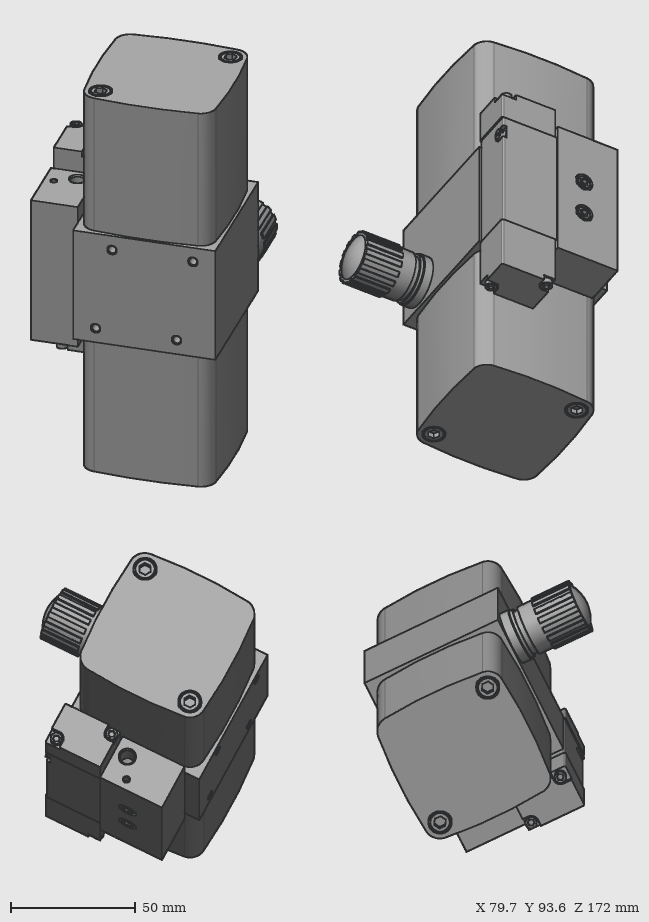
import cadquery as cq
import math

OVERALL_HEIGHT = 172.0
BLOCK_SIDE = 59.9
BLOCK_HEIGHT = 50.0
DRILL_TIP_ANGLE = 118.0

MOUNT_HOLE_DIAMETER = 3.3
MOUNT_HOLE_MOUTH = 4.1
MOUNT_HOLE_DEPTH = 6.9
MOUNT_HOLE_PITCH = 34.0
MOUNT_ROW_SHIFT = 3.5
MOUNT_ROW_Z = 18.5

REGULATOR_X = 17.4
REGULATOR_Z = -12.0
REGULATOR_LENGTH = 33.7
COLLAR_DIAMETER = 22.0
COLLAR_LENGTH = 4.1
COLLAR_CHAMFER = 0.3
SLEEVE_DIAMETER = 21.0
KNOB_RIM_DIAMETER = 21.3
NECK_DIAMETER = 19.0
NECK_START = 5.5
NECK_END = 7.7
RIB_START = 14.3
RIB_END = 30.8
RIB_COUNT = 16
RIB_WIDTH = 2.2
RIB_OUTER_DIAMETER = 22.5
DOME_DIAMETER = 19.0

HOUSING_SIDE = 57.6
HOUSING_SEAM_REACH = 27.7
HOUSING_SEAM_SPREAD = 21.8
TIE_SCREW_OFFSET = 21.0
TIE_SCREW_BORE = 9.5
TIE_SCREW_HEAD = 8.0
TIE_SCREW_HEAD_DEPTH = 1.7
TIE_SCREW_CHAMFER = 0.2
TIE_SCREW_HEX = 4.5
TIE_SCREW_HEX_DEPTH = 2.5

MANIFOLD_WIDTH = 19.8
MANIFOLD_HEIGHT = 64.3
MANIFOLD_BACK_Y = 4.8
MANIFOLD_FRONT_Y = -23.2
PORT_X = -36.8
PORT_Y = -0.9
PORT_DIAMETER = 5.8
PORT_MOUTH = 7.0
PORT_DEPTH = 10.3
PILOT_X = -45.5
PILOT_Y = -5.0
PILOT_DIAMETER = 2.4
PILOT_MOUTH = 3.0
PILOT_DEPTH = 5.2
MANIFOLD_SCREW_Y = -7.5
MANIFOLD_SCREW_PITCH = 16.3
MANIFOLD_SCREW_BORE = 7.7
MANIFOLD_SCREW_HEAD = 5.8
MANIFOLD_SCREW_HEAD_DEPTH = 1.4
MANIFOLD_SCREW_CHAMFER = 0.2
MANIFOLD_SCREW_HEX = 3.3
MANIFOLD_SCREW_HEX_DEPTH = 2.0

VALVE_WIDTH = 17.7
VALVE_DEPTH = 25.0
VALVE_HALF_LENGTH = 27.2
VALVE_EDGE_RADIUS = 0.7
CAP_SHIFT_Y = 0.5
UPPER_CAP_END_Z = 41.5
LOWER_CAP_END_Z = -50.9
CAP_SCREW_INSET_X = 3.0
CAP_SCREW_INSET_BACK = 3.6
CAP_SCREW_INSET_FRONT = 2.4
CAP_SCREW_NOTCH = 5.8
CAP_SCREW_HEAD = 4.6
CAP_SCREW_HEAD_DEPTH = 2.4
CAP_SCREW_SOCKET = 3.0
CAP_SCREW_SOCKET_DEPTH = 1.2
OVERRIDE_Z = 20.0
OVERRIDE_INSET_X = 3.0
OVERRIDE_RECESS = 5.8
OVERRIDE_RECESS_DEPTH = 1.7
OVERRIDE_PIN = 4.6
OVERRIDE_PIN_RISE = 0.7
OVERRIDE_SLOT_WIDTH = 0.7
OVERRIDE_SLOT_DEPTH = 1.0

BLOCK_HALF = BLOCK_SIDE / 2
MANIFOLD_LEFT_X = -BLOCK_HALF - MANIFOLD_WIDTH
VALVE_X = -BLOCK_HALF - MANIFOLD_WIDTH / 2
VALVE_LEFT_X = VALVE_X - VALVE_WIDTH / 2
VALVE_RIGHT_X = VALVE_X + VALVE_WIDTH / 2
VALVE_BACK_Y = MANIFOLD_BACK_Y + VALVE_DEPTH
CAP_FRONT_Y = MANIFOLD_BACK_Y + CAP_SHIFT_Y
CAP_BACK_Y = CAP_FRONT_Y + VALVE_DEPTH


def box_between(x_range, y_range, z_range):
    """Box spanning the given ranges along X, Y and Z."""
    sizes = [high - low for low, high in (x_range, y_range, z_range)]
    corner = (x_range[0], y_range[0], z_range[0])
    return cq.Workplane("XY").box(*sizes, centered=False).translate(corner)


def disc(x, y, z, diameter, height):
    """Upright cylinder whose base is centred on (x, y, z)."""
    return cq.Workplane("XY", origin=(x, y, z)).circle(diameter / 2).extrude(height)


def drilled_hole(position, inward, diameter, mouth, depth):
    """Cutter for a blind hole with a 45 degree countersink and a drill tip."""
    radius = diameter / 2
    mouth_radius = mouth / 2
    tip = radius / math.tan(math.radians(DRILL_TIP_ANGLE / 2))
    outline = [
        (0, 0),
        (mouth_radius, 0),
        (radius, mouth_radius - radius),
        (radius, depth),
        (0, depth + tip),
    ]
    across = (0, 1, 0) if inward[1] == 0 else (1, 0, 0)
    normal = cq.Vector(*across).cross(cq.Vector(*inward))
    plane = cq.Plane(origin=position, xDir=across, normal=normal.toTuple())
    return cq.Workplane(plane).polyline(outline).close().revolve(360, (0, 0), (0, 1))


def socket_screw(position, outward, bore, head, head_depth, chamfer, hex_flats, hex_depth):
    """Cutter that leaves a flush socket head: the gap around the head and the hex socket."""
    across = (1, 0, 0) if outward[0] == 0 else (0, 1, 0)
    plane = cq.Plane(origin=position, xDir=across, normal=outward)
    recess = cq.Workplane(plane).circle(bore / 2).extrude(-head_depth)
    head_solid = cq.Workplane(plane).circle(head / 2).extrude(-head_depth)
    top_face = cq.NearestToPointSelector(position)
    head_solid = head_solid.faces(top_face).edges().chamfer(chamfer)
    hex_corners = hex_flats / math.cos(math.pi / 6)
    socket = (
        cq.Workplane(plane)
        .transformed(rotate=(0, 0, 90))
        .polygon(6, hex_corners)
        .extrude(-hex_depth)
    )
    return recess.cut(head_solid).union(socket)


def make_regulator():
    """Collar, neck and a domed, ribbed knob that widens slightly away from the block."""
    plane = cq.Plane(
        origin=(REGULATOR_X, BLOCK_HALF, REGULATOR_Z), xDir=(1, 0, 0), normal=(0, 0, 1)
    )
    collar_radius = COLLAR_DIAMETER / 2
    sleeve_radius = SLEEVE_DIAMETER / 2
    neck_radius = NECK_DIAMETER / 2
    dome_radius = DOME_DIAMETER / 2
    dome_rise = REGULATOR_LENGTH - RIB_END
    sphere_radius = (dome_radius**2 + dome_rise**2) / (2 * dome_rise)
    half_angle = math.asin(dome_radius / sphere_radius) / 2
    dome_middle = (
        sphere_radius * math.sin(half_angle),
        REGULATOR_LENGTH - sphere_radius * (1 - math.cos(half_angle)),
    )
    turned = (
        cq.Workplane(plane)
        .moveTo(0, 0)
        .lineTo(collar_radius, 0)
        .lineTo(collar_radius, COLLAR_LENGTH - COLLAR_CHAMFER)
        .lineTo(collar_radius - COLLAR_CHAMFER, COLLAR_LENGTH)
        .lineTo(sleeve_radius, COLLAR_LENGTH)
        .lineTo(sleeve_radius, NECK_START)
        .lineTo(neck_radius, NECK_START)
        .lineTo(neck_radius, NECK_END)
        .lineTo(sleeve_radius, NECK_END)
        .lineTo(KNOB_RIM_DIAMETER / 2, RIB_END)
        .lineTo(dome_radius, RIB_END)
        .threePointArc(dome_middle, (0, REGULATOR_LENGTH))
        .close()
        .revolve(360, (0, 0), (0, 1))
    )
    axis_start = (REGULATOR_X, BLOCK_HALF, REGULATOR_Z)
    axis_end = (REGULATOR_X, BLOCK_HALF + 1.7, REGULATOR_Z)
    rib_disc = (
        cq.Workplane("XZ", origin=(REGULATOR_X, BLOCK_HALF + RIB_START, REGULATOR_Z))
        .circle(RIB_OUTER_DIAMETER / 2)
        .extrude(RIB_START - RIB_END)
    )
    full_bar = box_between(
        (REGULATOR_X - RIB_OUTER_DIAMETER, REGULATOR_X + RIB_OUTER_DIAMETER),
        (BLOCK_HALF + RIB_START, BLOCK_HALF + RIB_END),
        (REGULATOR_Z - RIB_WIDTH / 2, REGULATOR_Z + RIB_WIDTH / 2),
    )
    for index in range(RIB_COUNT // 2):
        bar = full_bar.rotate(axis_start, axis_end, index * 360 / RIB_COUNT)
        turned = turned.union(bar.intersect(rib_disc))
    return turned


def make_centre_block():
    block = cq.Workplane("XY").box(BLOCK_SIDE, BLOCK_SIDE, BLOCK_HEIGHT)
    block = block.union(make_regulator())
    for row in (1, -1):
        for side in (1, -1):
            x = row * MOUNT_ROW_SHIFT + side * MOUNT_HOLE_PITCH / 2
            hole = drilled_hole(
                (x, -BLOCK_HALF, row * MOUNT_ROW_Z),
                (0, 1, 0),
                MOUNT_HOLE_DIAMETER,
                MOUNT_HOLE_MOUTH,
                MOUNT_HOLE_DEPTH,
            )
            block = block.cut(hole)
    return block


def make_upper_housing():
    """Housing from the top of the block to the top end, with two tie screws on a diagonal."""
    reach = HOUSING_SEAM_REACH
    spread = HOUSING_SEAM_SPREAD
    bulge = HOUSING_SIDE / 2
    length = (OVERALL_HEIGHT - BLOCK_HEIGHT) / 2
    housing = (
        cq.Workplane("XY", origin=(0, 0, BLOCK_HEIGHT / 2))
        .moveTo(-spread, reach)
        .threePointArc((0, bulge), (spread, reach))
        .tangentArcPoint((reach, spread), relative=False)
        .threePointArc((bulge, 0), (reach, -spread))
        .tangentArcPoint((spread, -reach), relative=False)
        .threePointArc((0, -bulge), (-spread, -reach))
        .tangentArcPoint((-reach, -spread), relative=False)
        .threePointArc((-bulge, 0), (-reach, spread))
        .tangentArcPoint((-spread, reach), relative=False)
        .close()
        .extrude(length)
    )
    for side in (1, -1):
        screw = socket_screw(
            (side * TIE_SCREW_OFFSET, side * TIE_SCREW_OFFSET, OVERALL_HEIGHT / 2),
            (0, 0, 1),
            TIE_SCREW_BORE,
            TIE_SCREW_HEAD,
            TIE_SCREW_HEAD_DEPTH,
            TIE_SCREW_CHAMFER,
            TIE_SCREW_HEX,
            TIE_SCREW_HEX_DEPTH,
        )
        housing = housing.cut(screw)
    return housing


def make_manifold():
    top = MANIFOLD_HEIGHT / 2
    manifold = box_between(
        (MANIFOLD_LEFT_X, -BLOCK_HALF), (MANIFOLD_FRONT_Y, MANIFOLD_BACK_Y), (-top, top)
    )
    port = drilled_hole((PORT_X, PORT_Y, top), (0, 0, -1), PORT_DIAMETER, PORT_MOUTH, PORT_DEPTH)
    pilot = drilled_hole(
        (PILOT_X, PILOT_Y, top), (0, 0, -1), PILOT_DIAMETER, PILOT_MOUTH, PILOT_DEPTH
    )
    manifold = manifold.cut(port).cut(pilot)
    for side in (1, -1):
        screw = socket_screw(
            (MANIFOLD_LEFT_X, MANIFOLD_SCREW_Y, side * MANIFOLD_SCREW_PITCH / 2),
            (-1, 0, 0),
            MANIFOLD_SCREW_BORE,
            MANIFOLD_SCREW_HEAD,
            MANIFOLD_SCREW_HEAD_DEPTH,
            MANIFOLD_SCREW_CHAMFER,
            MANIFOLD_SCREW_HEX,
            MANIFOLD_SCREW_HEX_DEPTH,
        )
        manifold = manifold.cut(screw)
    return manifold


def valve_section(front_y, z_range):
    """Length of valve section, with its two long edges on the +Y side rounded."""
    section = box_between((VALVE_LEFT_X, VALVE_RIGHT_X), (front_y, front_y + VALVE_DEPTH), z_range)
    return section.faces(">Y").edges("|Z").fillet(VALVE_EDGE_RADIUS)


def make_valve_body():
    """Valve body with a slotted override pin in a recess that is open to the -X side."""
    body = valve_section(MANIFOLD_BACK_Y, (-VALVE_HALF_LENGTH, VALVE_HALF_LENGTH))
    pin_x = VALVE_LEFT_X + OVERRIDE_INSET_X
    floor_y = VALVE_BACK_Y - OVERRIDE_RECESS_DEPTH
    pin_top_y = VALVE_BACK_Y + OVERRIDE_PIN_RISE
    recess_radius = OVERRIDE_RECESS / 2
    floor = cq.Workplane("XZ", origin=(pin_x, floor_y, OVERRIDE_Z))
    round_recess = floor.circle(recess_radius).extrude(-OVERRIDE_RECESS_DEPTH)
    side_opening = box_between(
        (VALVE_LEFT_X, pin_x),
        (floor_y, VALVE_BACK_Y),
        (OVERRIDE_Z - recess_radius, OVERRIDE_Z + recess_radius),
    )
    pin = floor.circle(OVERRIDE_PIN / 2).extrude(floor_y - pin_top_y)
    slot = box_between(
        (pin_x - OVERRIDE_PIN, pin_x + OVERRIDE_PIN),
        (pin_top_y - OVERRIDE_SLOT_DEPTH, pin_top_y),
        (OVERRIDE_Z - OVERRIDE_SLOT_WIDTH / 2, OVERRIDE_Z + OVERRIDE_SLOT_WIDTH / 2),
    )
    return body.cut(round_recess).cut(side_opening).union(pin.cut(slot))


def make_cap(inner_z, outer_z, back_side):
    """Valve end cap with two screws on opposite corners, each in a notch open to both sides.

    back_side is the X direction, -1 or 1, of the corner that holds the screw on the +Y side.
    """
    cap = valve_section(CAP_FRONT_Y, (min(inner_z, outer_z), max(inner_z, outer_z)))
    outward = math.copysign(1, outer_z - inner_z)
    floor_z = outer_z - outward * CAP_SCREW_HEAD_DEPTH
    rise = outer_z - floor_z
    radius = CAP_SCREW_NOTCH / 2
    screw_reach = VALVE_WIDTH / 2 - CAP_SCREW_INSET_X
    corners = (
        (back_side, CAP_BACK_Y - CAP_SCREW_INSET_BACK, CAP_BACK_Y),
        (-back_side, CAP_FRONT_Y + CAP_SCREW_INSET_FRONT, CAP_FRONT_Y),
    )
    for x_side, y, edge_y in corners:
        x = VALVE_X + x_side * screw_reach
        edge_x = VALVE_X + x_side * VALVE_WIDTH / 2
        inner_x = x - x_side * radius
        inner_y = y - math.copysign(radius, edge_y - y)
        z_range = sorted((floor_z, outer_z))
        notch = (
            disc(x, y, floor_z, CAP_SCREW_NOTCH, rise)
            .union(box_between(sorted((inner_x, edge_x)), sorted((y, edge_y)), z_range))
            .union(box_between(sorted((x, edge_x)), sorted((inner_y, edge_y)), z_range))
        )
        head = disc(x, y, floor_z, CAP_SCREW_HEAD, rise)
        socket = (
            cq.Workplane("XY", origin=(x, y, outer_z))
            .polygon(6, CAP_SCREW_SOCKET)
            .extrude(-outward * CAP_SCREW_SOCKET_DEPTH)
        )
        cap = cap.cut(notch.cut(head)).cut(socket)
    return cap


centre_block = make_centre_block()
upper_housing = make_upper_housing()
lower_housing = upper_housing.mirror("XY")
manifold = make_manifold()
valve_body = make_valve_body()
upper_cap = make_cap(VALVE_HALF_LENGTH, UPPER_CAP_END_Z, back_side=-1)
lower_cap = make_cap(-VALVE_HALF_LENGTH, LOWER_CAP_END_Z, back_side=1)

result = cq.Compound.makeCompound(
    [
        centre_block.val(),
        upper_housing.val(),
        lower_housing.val(),
        manifold.val(),
        valve_body.val(),
        upper_cap.val(),
        lower_cap.val(),
    ]
)